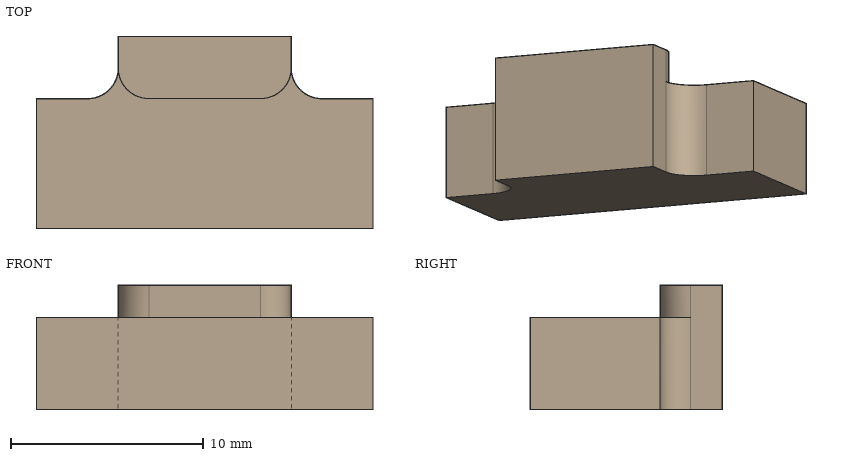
import cadquery as cq

body_length = 17.5
body_depth = 6.75
body_height = 4.8
total_depth = 10.0
total_height = 6.48
tab_width = 9.0
corner_radius = 1.6

tab_depth = total_depth - body_depth


def make_body():
    """Rectangular block with its front face at Y = 0 and its base at Z = 0."""
    return cq.Workplane("XY").box(
        body_length, body_depth, body_height, centered=(True, False, False)
    )


def make_tab():
    """Full-height tab behind the block, rounded at its two front corners."""
    tab = cq.Workplane("XY").box(
        tab_width, tab_depth, total_height, centered=(True, False, False)
    )
    return tab.edges("|Z and <Y").fillet(corner_radius).translate((0, body_depth, 0))


def make_web(side):
    """Material up to body height joining block and tab: side is -1 (left) or +1 (right).

    It fills the rounded tab corner and blends outward in a concave quarter arc.
    """
    tab_side = side * tab_width / 2
    arc_center = (tab_side + side * corner_radius, body_depth + corner_radius)
    web = (
        cq.Workplane("XY")
        .moveTo(tab_side - side * corner_radius, body_depth)
        .lineTo(arc_center[0], body_depth)
        .lineTo(*arc_center)
        .lineTo(tab_side - side * corner_radius, arc_center[1])
        .close()
        .extrude(body_height)
    )
    blend_cut = cq.Workplane("XY").center(*arc_center).circle(corner_radius).extrude(body_height)
    return web.cut(blend_cut)


result = make_body().union(make_tab())
for side in (-1, 1):
    result = result.union(make_web(side))